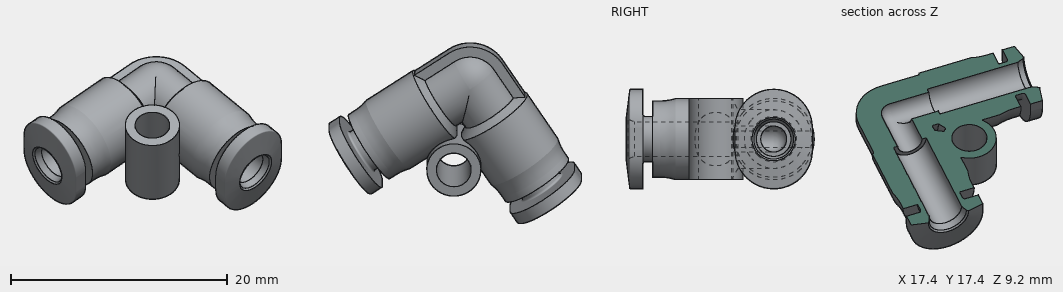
import cadquery as cq
import math


overall_length = 17.35

elbow_radius = 2.7
body_radius = 3.75
body_end_radius = 3.52
collar_radius = 2.1

body_start = 3.28
shoulder = 3.89
taper_start = 9.04
taper_end = 10.48
body_end = 11.15
flange_start = 12.05
flange_edge = 13.27
tip = overall_length - body_radius

flange_half_width = 3.57
flange_half_height = 4.6
flange_flat_half = flange_half_height - flange_half_width
flange_rim_fillet = 0.1
flange_root_fillet = 0.2

mouth_radius = 2.0
mouth_chamfer = 0.15
funnel_radius = mouth_radius - mouth_chamfer
funnel_depth = 0.6
socket_radius = 1.6
socket_floor = shoulder
passage_radius = 1.2

web_radius = 3.55
web_thickness = 1.53

boss_offset = 5.33
boss_radius = 2.5
boss_hole_radius = 1.6


def both_arms(arm):
    """Join an arm along +X with its copy turned to -Y."""
    return arm.union(arm.rotate((0, 0, 0), (0, 0, 1), -90))


def revolve_about_x(profile):
    """Close a half profile drawn above the X axis and turn it about that axis."""
    return profile.close().revolve(360, (0, 0, 0), (1, 0, 0))


def make_body():
    """Elbow tube, shoulder cone, body and thin collar as one turned shape."""
    profile = (
        cq.Workplane("XY")
        .lineTo(flange_start, 0)
        .lineTo(flange_start, collar_radius + flange_root_fillet)
        .radiusArc((flange_start - flange_root_fillet, collar_radius), flange_root_fillet)
        .lineTo(body_end, collar_radius)
        .lineTo(body_end, body_end_radius)
        .lineTo(taper_end, body_end_radius)
        .tangentArcPoint((taper_start, body_radius), relative=False)
        .lineTo(shoulder, body_radius)
        .lineTo(body_start, elbow_radius)
        .lineTo(0, elbow_radius)
    )
    return revolve_about_x(profile)


def obround_outline(station):
    """Obround across the arm, started at its lower right corner."""
    y = flange_half_width
    z = flange_flat_half
    return (
        cq.Workplane("YZ", origin=(station, 0, 0))
        .moveTo(y, -z)
        .lineTo(y, z)
        .threePointArc((0, flange_half_height), (-y, z))
        .lineTo(-y, -z)
        .threePointArc((0, -flange_half_height), (y, -z))
        .close()
    )


def mouth_outline(station):
    """Mouth circle split into four arcs that line up with the sides of the obround."""
    corner_angle = math.atan2(flange_flat_half, flange_half_width)
    y = mouth_radius * math.cos(corner_angle)
    z = mouth_radius * math.sin(corner_angle)
    return (
        cq.Workplane("YZ", origin=(station, 0, 0))
        .moveTo(y, -z)
        .threePointArc((mouth_radius, 0), (y, z))
        .threePointArc((0, mouth_radius), (-y, z))
        .threePointArc((-mouth_radius, 0), (-y, -z))
        .threePointArc((0, -mouth_radius), (y, -z))
        .close()
    )


def make_flange():
    """Obround plate whose outer face slopes up to the round socket mouth."""
    plate = obround_outline(flange_start).extrude(flange_edge - flange_start)
    dome_ends = [obround_outline(flange_edge).val(), mouth_outline(tip).val()]
    dome = cq.Workplane(cq.Solid.makeLoft(dome_ends, True))

    rim_slack = 0.02
    rim = cq.selectors.BoxSelector(
        (flange_edge - rim_slack, -flange_half_height, -flange_half_height),
        (flange_edge + rim_slack, flange_half_height, flange_half_height),
    )
    return plate.union(dome).edges(rim).fillet(flange_rim_fillet)


def make_web():
    """Flat web along both arms, rounded about the elbow centre."""
    bend = web_radius * math.cos(math.pi / 4)
    return (
        cq.Workplane("XY", origin=(0, 0, -web_thickness / 2))
        .lineTo(0, -shoulder)
        .lineTo(-web_radius, -shoulder)
        .lineTo(-web_radius, 0)
        .threePointArc((-bend, bend), (0, web_radius))
        .lineTo(shoulder, web_radius)
        .lineTo(shoulder, 0)
        .close()
        .extrude(web_thickness)
    )


def make_bore():
    """Chamfered mouth, funnel, tube socket and flow passage of one arm."""
    funnel_start = tip - mouth_chamfer
    funnel_end = funnel_start - funnel_depth
    profile = (
        cq.Workplane("XY")
        .lineTo(tip, 0)
        .lineTo(tip, mouth_radius)
        .lineTo(funnel_start, funnel_radius)
        .lineTo(funnel_end, socket_radius)
        .lineTo(socket_floor, socket_radius)
        .lineTo(socket_floor, passage_radius)
        .lineTo(0, passage_radius)
    )
    return revolve_about_x(profile)


def boss_cylinder(radius):
    """Upright cylinder on the boss axis, as tall as the body is wide."""
    return (
        cq.Workplane("XY", origin=(boss_offset, -boss_offset, -body_radius))
        .circle(radius)
        .extrude(2 * body_radius)
    )


outside = (
    both_arms(make_body().union(make_flange()))
    .union(cq.Workplane("XY").sphere(elbow_radius))
    .union(make_web())
    .union(boss_cylinder(boss_radius))
)
passages = both_arms(make_bore()).union(cq.Workplane("XY").sphere(passage_radius))

result = outside.cut(passages).cut(boss_cylinder(boss_hole_radius))